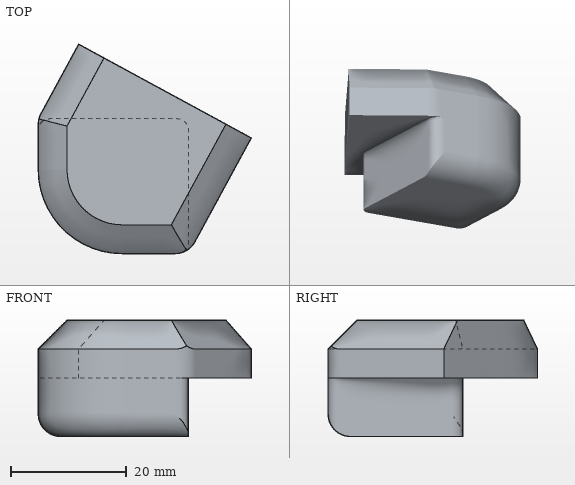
import cadquery as cq
import math

TOTAL_HEIGHT = 20.15
STEP_DEPTH = 10.0
TOP_CHAMFER = STEP_DEPTH / 2

BLOCK_WIDTH = 26.03
BLOCK_DEPTH = 23.37
CORNER_RADIUS = 14.6
HEAD_ANGLE = 28.5
LEFT_SIDE_LENGTH = 14.7

HEAD_ROUND = 4.0
BOTTOM_ROUND = 4.0
BLOCK_ROUND = 2.0

STEP_Z = TOTAL_HEIGHT - STEP_DEPTH
SIDE_X = math.sin(math.radians(HEAD_ANGLE))
SIDE_Y = math.cos(math.radians(HEAD_ANGLE))
HEAD_WIDTH = BLOCK_WIDTH * SIDE_Y + BLOCK_DEPTH * SIDE_X

LEFT_CORNER = (0, BLOCK_DEPTH)
FRONT_CORNER = (BLOCK_WIDTH, 0)
BACK_LEFT = (LEFT_SIDE_LENGTH * SIDE_X, BLOCK_DEPTH + LEFT_SIDE_LENGTH * SIDE_Y)
BACK_RIGHT = (BACK_LEFT[0] + HEAD_WIDTH * SIDE_Y, BACK_LEFT[1] - HEAD_WIDTH * SIDE_X)
HEAD_REAR_POINTS = [BACK_RIGHT, BACK_LEFT]

ARC_MIDDLE = CORNER_RADIUS * (1 - math.sqrt(0.5))
LEFT_WALL_MIDDLE = (0, (CORNER_RADIUS + BLOCK_DEPTH) / 2)
FRONT_WALL_MIDDLE = ((CORNER_RADIUS + BLOCK_WIDTH) / 2, 0)


def midpoint(a, b):
    return ((a[0] + b[0]) / 2, (a[1] + b[1]) / 2)


def prism(rear_points, bottom, top):
    """Extrude the left wall, large corner and front wall, closed through the rear points."""
    outline = (
        cq.Workplane("XY", origin=(0, 0, bottom))
        .moveTo(*LEFT_CORNER)
        .lineTo(0, CORNER_RADIUS)
        .threePointArc((ARC_MIDDLE, ARC_MIDDLE), (CORNER_RADIUS, 0))
        .lineTo(*FRONT_CORNER)
    )
    for point in rear_points:
        outline = outline.lineTo(*point)
    return outline.close().extrude(top - bottom)


def edges_near(body, points, z):
    """Pick the edge of the body closest to each plan point at height z."""
    picked = body.edges(cq.selectors.NearestToPointSelector((*points[0], z)))
    for point in points[1:]:
        picked = picked.add(body.edges(cq.selectors.NearestToPointSelector((*point, z))))
    return picked


def make_head():
    """Upper body: chamfered on every top edge but the rear one."""
    chamfered_edges = [
        midpoint(LEFT_CORNER, BACK_LEFT),
        LEFT_WALL_MIDDLE,
        (ARC_MIDDLE, ARC_MIDDLE),
        FRONT_WALL_MIDDLE,
        midpoint(FRONT_CORNER, BACK_RIGHT),
    ]
    head = prism(HEAD_REAR_POINTS, STEP_Z, TOTAL_HEIGHT)
    return edges_near(head, chamfered_edges, TOTAL_HEIGHT).chamfer(TOP_CHAMFER)


def make_rounded_envelope():
    """Full-height prism with the two corners beside the head's sides rounded."""
    envelope = prism(HEAD_REAR_POINTS, 0, TOTAL_HEIGHT)
    return edges_near(envelope, [LEFT_CORNER, FRONT_CORNER], TOTAL_HEIGHT / 2).fillet(HEAD_ROUND)


def make_block():
    """Lower body: rectangular block with rounded corners and a round along its outer bottom edges."""
    rear_corner = (BLOCK_WIDTH, BLOCK_DEPTH)
    block_corners = [LEFT_CORNER, FRONT_CORNER, rear_corner]
    bottom_edges = [LEFT_WALL_MIDDLE, (ARC_MIDDLE, ARC_MIDDLE), FRONT_WALL_MIDDLE]
    rounded_below = prism([rear_corner], 0, STEP_Z)
    rounded_below = edges_near(rounded_below, bottom_edges, 0).fillet(BOTTOM_ROUND)
    rounded_corners = prism([rear_corner], 0, STEP_Z)
    rounded_corners = edges_near(rounded_corners, block_corners, STEP_Z / 2).fillet(BLOCK_ROUND)
    return rounded_below.intersect(rounded_corners)


result = make_head().union(make_block()).intersect(make_rounded_envelope())